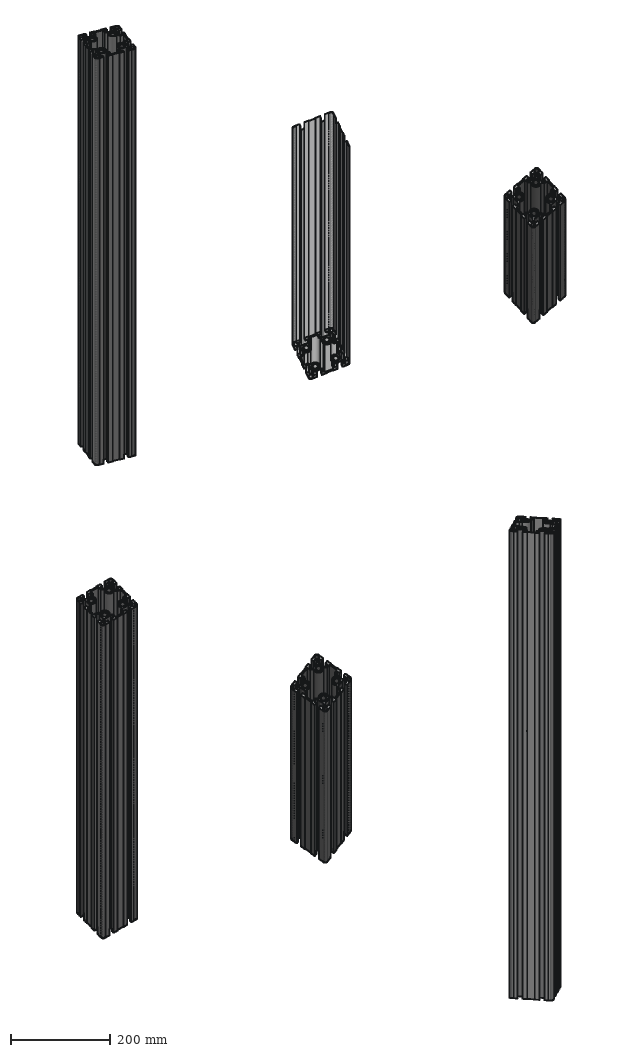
import cadquery as cq

SIDE = 90.0
LENGTH = 1000.0
HALF = SIDE / 2
CORNER_RADIUS = 5.2

BORE_OFFSET = SIDE / 4
BORE_RADIUS = 5.0
COUNTERSINK = 2.0
BOSS_RADIUS = 10.0

SLOT_OFFSET = BORE_OFFSET
MOUTH_WIDTH = 10.0
LIP_THICKNESS = 6.0
CHAMBER_WIDTH = 20.0
SLOT_DEPTH = 13.0
CHAMBER_CHAMFER = 3.0

CORNER_WALL = 2.0
HOLLOW_SIDE = 7.5
HOLLOW_RADIUS = 3.0

GROOVE_WIDTH = 15.0
GROOVE_DEPTH = 1.0

SIDE_WALL = 4.0
ARM_WIDTH = 19.0
ARM_STRAIGHT_LENGTH = 7.5

QUARTER_TURNS = (90, 180, 270)
BORE_CENTRES = [(x, y) for x in (-BORE_OFFSET, BORE_OFFSET) for y in (-BORE_OFFSET, BORE_OFFSET)]


def on_four_sides(cutter):
    """Join a cutter with its copies at quarter turns about the bar's axis."""
    joined = cutter
    for angle in QUARTER_TURNS:
        joined = joined.union(cutter.rotate((0, 0, 0), (0, 0, 1), angle))
    return joined


def mirrored_prism(right_half, centre=0):
    """Full-length prism whose outline is the given right half and its mirror image about x = centre."""
    left_half = [(-x, y) for x, y in reversed(right_half)]
    outline = [(centre + x, y) for x, y in right_half + left_half]
    return cq.Workplane("XY").polyline(outline).close().extrude(LENGTH)


def outer_bar():
    return cq.Workplane("XY").rect(SIDE, SIDE).extrude(LENGTH).edges("|Z").fillet(CORNER_RADIUS)


def side_slots():
    """T-slots whose chambers are chamfered at the deep corners."""
    lip_inside = HALF - LIP_THICKNESS
    floor = HALF - SLOT_DEPTH
    half_mouth = MOUTH_WIDTH / 2
    half_chamber = CHAMBER_WIDTH / 2
    right_half = [
        (half_mouth, HALF),
        (half_mouth, lip_inside),
        (half_chamber, lip_inside),
        (half_chamber, floor + CHAMBER_CHAMFER),
        (half_chamber - CHAMBER_CHAMFER, floor),
    ]
    pair = mirrored_prism(right_half, -SLOT_OFFSET).union(mirrored_prism(right_half, SLOT_OFFSET))
    return on_four_sides(pair)


def central_cavity():
    """Four arms meeting in the middle, each flaring at 45 degrees towards the bosses."""
    arm_end = HALF - SIDE_WALL
    flare_start = arm_end - ARM_STRAIGHT_LENGTH
    half_arm = ARM_WIDTH / 2
    half_flared = half_arm + flare_start - BORE_OFFSET
    right_half = [
        (half_arm, arm_end),
        (half_arm, flare_start),
        (half_flared, BORE_OFFSET),
        (half_flared, 0),
    ]
    return on_four_sides(mirrored_prism(right_half))


def bosses():
    return cq.Workplane("XY").pushPoints(BORE_CENTRES).circle(BOSS_RADIUS).extrude(LENGTH)


def side_grooves():
    groove = cq.Workplane("XY").center(0, HALF - GROOVE_DEPTH / 2).rect(GROOVE_WIDTH, GROOVE_DEPTH)
    return on_four_sides(groove.extrude(LENGTH))


def corner_hollows():
    centre = HALF - CORNER_WALL - HOLLOW_SIDE / 2
    hollow = cq.Workplane("XY").center(centre, centre).rect(HOLLOW_SIDE, HOLLOW_SIDE).extrude(LENGTH)
    return on_four_sides(hollow.edges("|Z and >(1,1,0)").fillet(HOLLOW_RADIUS))


def bores():
    """Through bores with a 45-degree countersink at each end."""
    profile = [
        (0, 0),
        (BORE_RADIUS + COUNTERSINK, 0),
        (BORE_RADIUS, COUNTERSINK),
        (BORE_RADIUS, LENGTH - COUNTERSINK),
        (BORE_RADIUS + COUNTERSINK, LENGTH),
        (0, LENGTH),
    ]
    bore = cq.Workplane("XZ").polyline(profile).close().revolve(360, (0, 0, 0), (0, 1, 0)).val()
    return cq.Workplane("XY").pushPoints(BORE_CENTRES).eachpoint(lambda place: bore.moved(place))


slots_and_cavity = side_slots().union(central_cavity()).cut(bosses())

result = (
    outer_bar()
    .cut(slots_and_cavity)
    .cut(side_grooves())
    .cut(corner_hollows())
    .cut(bores())
)